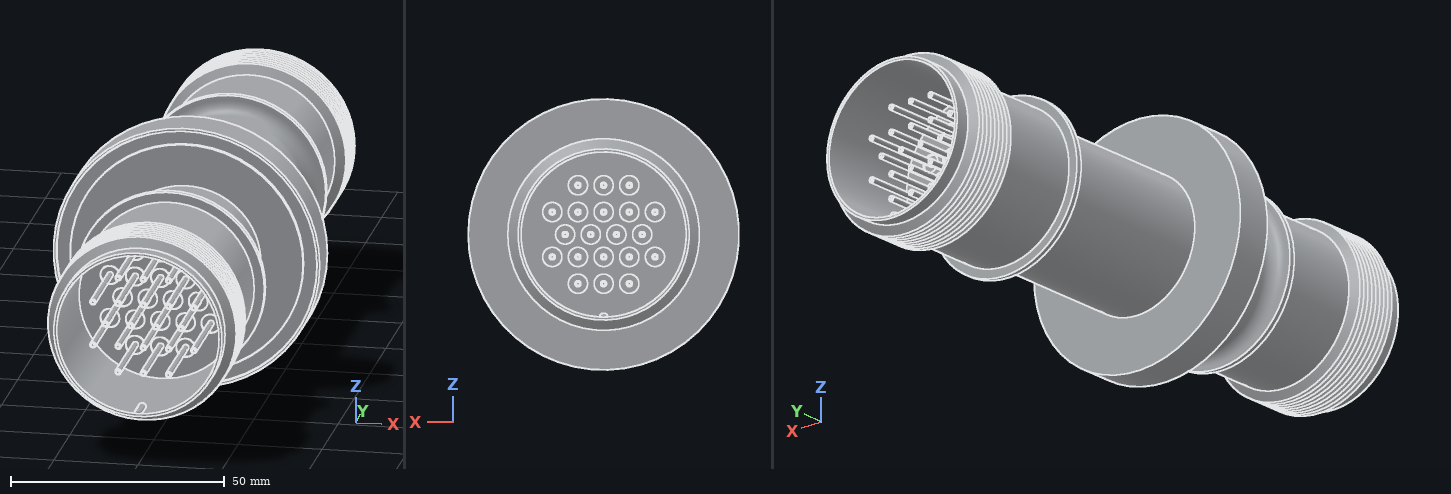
import cadquery as cq

half_length = 159.13 / 2
neck_radius = 17.7
barrel_half_length = 21.4
shell_radius = 20.0
socket_radius = 19.3

flange_radius = 63.37 / 2
flange_front = -18.6
flange_thickness = 9.75
groove_outer_radius = 31.0
groove_inner_radius = 27.7
groove_depth = 0.8

collar_radius = 22.4
collar_outer_face = 39.2
collar_thickness = 1.55
neck_fillet_radius = 3.3

ridge_count = 9
ridge_pitch = 1.44
ridge_crest_radius = 22.4
ridge_root_radius = 21.3
thread_end_gap = 3.9
thread_run_in = 1.2

key_radius = 0.95
key_length = 5.5
key_nose_fillet = 0.8

socket_depth = 28.0
pin_radius = 0.7
pin_tip_chamfer = 0.3
pin_length = 21.5
seal_radius = 2.25
seal_recess_depth = 0.5
pin_pitch = 6.0
inner_row_height = 5.25
outer_row_height = 11.5
pin_rows = [
    (outer_row_height, 3),
    (inner_row_height, 5),
    (0, 4),
    (-inner_row_height, 5),
    (-outer_row_height, 3),
]


def disc(radius, start, end):
    """Cylinder about the Y axis between two Y positions."""
    return cq.Workplane("XZ", origin=(0, start, 0)).circle(radius).extrude(start - end)


def pin_positions():
    """X, Z centres of the pins, each row centred on the axis."""
    positions = []
    for height, count in pin_rows:
        for index in range(count):
            positions.append(((index - (count - 1) / 2) * pin_pitch, height))
    return positions


def connector_shell():
    """Solid +Y connector body: neck, fillet, collar, shell and thread ridges."""
    collar_inner_face = collar_outer_face - collar_thickness
    thread_end = half_length - thread_end_gap
    first_crest = thread_end - thread_run_in - (ridge_count - 1) * ridge_pitch

    profile = (
        cq.Workplane("XY")
        .moveTo(0, barrel_half_length)
        .lineTo(neck_radius, barrel_half_length)
        .lineTo(neck_radius, collar_inner_face - neck_fillet_radius)
        .radiusArc((neck_radius + neck_fillet_radius, collar_inner_face), neck_fillet_radius)
        .lineTo(collar_radius, collar_inner_face)
        .lineTo(collar_radius, collar_outer_face)
        .lineTo(shell_radius, collar_outer_face)
        .lineTo(shell_radius, first_crest - thread_run_in)
    )
    for index in range(ridge_count):
        crest = first_crest + index * ridge_pitch
        if index > 0:
            profile = profile.lineTo(ridge_root_radius, crest - ridge_pitch / 2)
        profile = profile.lineTo(ridge_crest_radius, crest)
    profile = (
        profile.lineTo(shell_radius, thread_end)
        .lineTo(shell_radius, half_length)
        .lineTo(0, half_length)
        .close()
    )
    return profile.revolve(360, (0, 0, 0), (0, 1, 0))


def locating_key():
    """Half-round key with a rounded nose at the mouth, trimmed to the outside of the shell."""
    key_start = half_length - key_length
    bar = cq.Workplane("XZ", origin=(0, key_start, -socket_radius))
    bar = bar.circle(key_radius).extrude(-key_length)
    bar = bar.faces(">Y").edges().fillet(key_nose_fillet)
    return bar.intersect(disc(shell_radius, key_start, half_length))


def connector():
    """Rear connector with its open socket, seal recesses and contact pins."""
    floor = half_length - socket_depth
    recess_floor = floor - seal_recess_depth
    socket = disc(socket_radius, floor, half_length)
    layout = cq.Workplane("XZ", origin=(0, recess_floor, 0)).pushPoints(pin_positions())
    recesses = layout.circle(seal_radius).extrude(-seal_recess_depth)
    pins = layout.circle(pin_radius).extrude(-(seal_recess_depth + pin_length))
    pins = pins.faces(">Y").chamfer(pin_tip_chamfer)
    return connector_shell().cut(socket).cut(recesses).union(pins).union(locating_key())


def flange():
    """Flange disc with the annular groove in its -Y face."""
    groove_floor = flange_front + groove_depth
    body = disc(flange_radius, flange_front, flange_front + flange_thickness)
    groove = disc(groove_outer_radius, flange_front, groove_floor).cut(
        disc(groove_inner_radius, flange_front, groove_floor)
    )
    return body.cut(groove)


rear_connector = connector()
front_connector = rear_connector.mirror("XZ")
barrel = disc(neck_radius, -barrel_half_length, barrel_half_length)
result = barrel.union(rear_connector).union(front_connector).union(flange())